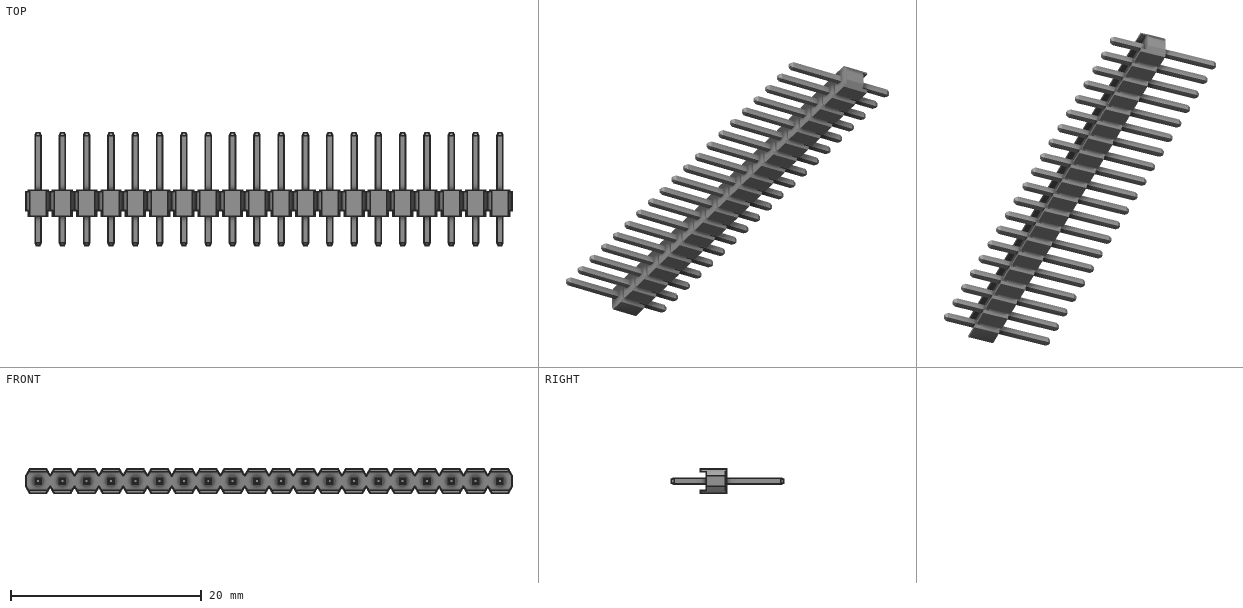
import cadquery as cq

pin_count = 20
pitch = 2.55

pin_length = 11.8
pin_width = pitch / 4
pin_tip_length = 0.3
pin_tip_width = 0.35
pin_front_reach = 3.05

body_height = 2.55
body_depth = 2.75
rail_overhang = 0.6
rail_thickness = 0.3
top_flat_width = 1.75
side_height = 1.1
notch_depth = 0.15
back_width = 2.1

pin_front = -pin_length / 2
rail_front = pin_front + pin_front_reach
core_front = rail_front + rail_overhang
body_back = rail_front + body_depth
notch_floor = body_back - notch_depth


def box_between(x_size, z_size, y_front, y_back):
    """Box centred on the Y axis in X and Z, spanning two Y levels."""
    y_middle = (y_front + y_back) / 2
    return cq.Workplane("XY").box(x_size, y_back - y_front, z_size).translate((0, y_middle, 0))


def make_block():
    """Octagonal insulator block, recessed in front between two rails and notched behind."""
    block = (
        cq.Workplane("XZ", origin=(0, body_back, 0))
        .moveTo(-pitch / 2, -side_height / 2)
        .lineTo(-top_flat_width / 2, -body_height / 2)
        .lineTo(top_flat_width / 2, -body_height / 2)
        .lineTo(pitch / 2, -side_height / 2)
        .lineTo(pitch / 2, side_height / 2)
        .lineTo(top_flat_width / 2, body_height / 2)
        .lineTo(-top_flat_width / 2, body_height / 2)
        .lineTo(-pitch / 2, side_height / 2)
        .close()
        .extrude(body_depth)
    )
    back_notches = box_between(pitch, body_height, notch_floor, body_back).cut(
        box_between(back_width, body_height, notch_floor, body_back)
    )
    recess_height = body_height - 2 * rail_thickness
    front_recess = box_between(pitch, recess_height, rail_front, core_front)
    return block.cut(back_notches).cut(front_recess)


def make_pin():
    """Square pin with a tapered tip at each end."""
    shank_front = pin_front + pin_tip_length
    shank_back = -shank_front
    shank = box_between(pin_width, pin_width, shank_front, shank_back)
    front_tip = (
        cq.Workplane("XZ", origin=(0, shank_front, 0))
        .rect(pin_width, pin_width)
        .workplane(offset=pin_tip_length)
        .rect(pin_tip_width, pin_tip_width)
        .loft(ruled=True)
    )
    back_tip = front_tip.mirror("XZ")
    return shank.union(front_tip).union(back_tip)


unit = make_block().union(make_pin())
positions = [((index - (pin_count - 1) / 2) * pitch, 0, 0) for index in range(pin_count)]
result = unit.translate(positions[0])
for position in positions[1:]:
    result = result.union(unit.translate(position))